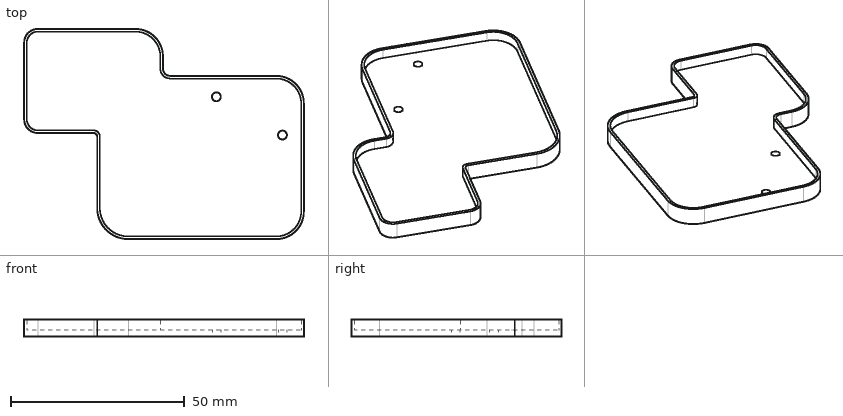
import cadquery as cq

LENGTH = 80.5
WIDTH = 60.5
HEIGHT = 5.0

WALL = 0.8
FLOOR = 2.0

LOBE_LENGTH = 40.0
LOBE_WIDTH = 30.0

LEFT_STEP = 21.0
BACK_STEP = 13.5

LOBE_LEFT_RADIUS = 4.0
LARGE_RADIUS = 8.0
FRONT_LEFT_RADIUS = 9.0
BACK_INSIDE_RADIUS = 2.0
LEFT_INSIDE_RADIUS = 1.0

HOLE_DIAMETER = 2.5
HOLE_PLACES = [(55.3, 19.55), (74.3, 30.55)]

LEFT = -LENGTH / 2
RIGHT = LENGTH / 2
FRONT = -WIDTH / 2
BACK = WIDTH / 2
LOBE_RIGHT = LEFT + LOBE_LENGTH
LOBE_FRONT = BACK - LOBE_WIDTH
MAIN_LEFT = LEFT + LEFT_STEP
MAIN_BACK = BACK - BACK_STEP

CORNERS = [
    (LEFT, BACK, LOBE_LEFT_RADIUS),
    (LOBE_RIGHT, BACK, LARGE_RADIUS),
    (LOBE_RIGHT, MAIN_BACK, BACK_INSIDE_RADIUS),
    (RIGHT, MAIN_BACK, LARGE_RADIUS),
    (RIGHT, FRONT, LARGE_RADIUS),
    (MAIN_LEFT, FRONT, FRONT_LEFT_RADIUS),
    (MAIN_LEFT, LOBE_FRONT, LEFT_INSIDE_RADIUS),
    (LEFT, LOBE_FRONT, LOBE_LEFT_RADIUS),
]


def make_block():
    """Solid block with the stepped outline and rounded vertical corners."""
    outline = [(x, y) for x, y, _ in CORNERS]
    block = cq.Workplane("XY").polyline(outline).close().extrude(HEIGHT)
    for x, y, radius in CORNERS:
        corner_edge = cq.selectors.NearestToPointSelector((x, y, HEIGHT / 2))
        block = block.edges("|Z").edges(corner_edge).fillet(radius)
    return block


def make_cavity(block):
    """Open pocket that leaves an even wall all round."""
    rim = block.faces(">Z").wires()
    return rim.toPending().offset2D(-WALL).extrude(FLOOR - HEIGHT, combine=False)


def make_holes():
    """Round holes straight through the floor."""
    centers = [(LEFT + from_left, BACK - from_back) for from_left, from_back in HOLE_PLACES]
    return cq.Workplane("XY").pushPoints(centers).circle(HOLE_DIAMETER / 2).extrude(HEIGHT)


tray = make_block()
result = tray.cut(make_cavity(tray)).cut(make_holes())